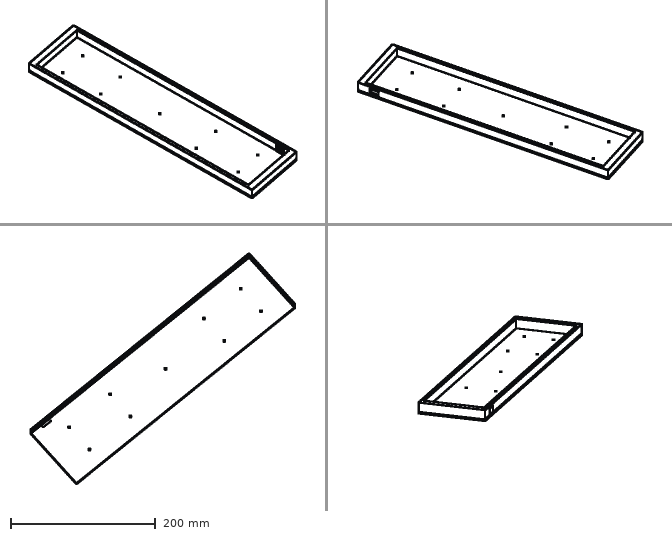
import cadquery as cq

length = 397.0
width = 97.5
height = 16.1

plate_thickness = 2.4
frame_height = height - plate_thickness
edge_chamfer = 0.2

cavity_length = 377.0
cavity_width = 88.0

hole_diameter = 2.2
hole_row_spacing = 43.0
hole_center_y = -0.6
hole_columns = (-159.6, -92.6, 77.6, 152.0)
middle_hole_x = -4.5

window_length = 14.0
window_height = 10.6
window_center_x = 172.5
window_sill_drop = 0.9
window_sill = plate_thickness - window_sill_drop


def centered_box(box_length, box_width, box_height, bottom):
    """Box centered in X and Y whose bottom face lies at the given height."""
    return (
        cq.Workplane("XY", origin=(0, 0, bottom))
        .box(box_length, box_width, box_height, centered=(True, True, False))
    )


def make_plate():
    """Base plate with all its outer edges chamfered."""
    return centered_box(length, width, plate_thickness, 0).edges().chamfer(edge_chamfer)


def make_frame():
    """Open frame whose outer vertical and top edges are chamfered."""
    block = centered_box(length, width, frame_height, plate_thickness)
    block = block.edges("|Z or >Z").chamfer(edge_chamfer)
    return block.cut(centered_box(cavity_length, cavity_width, frame_height, plate_thickness))


def make_holes():
    """Round cutters through the plate."""
    points = [
        (x, hole_center_y + side * hole_row_spacing / 2)
        for x in hole_columns
        for side in (-1, 1)
    ]
    points.append((middle_hole_x, hole_center_y))
    return cq.Workplane("XY").pushPoints(points).circle(hole_diameter / 2).extrude(plate_thickness)


def make_window():
    """Rectangular cutter through the back wall and the plate edge under it."""
    back_wall = (width - cavity_width) / 2
    cutter = centered_box(window_length, back_wall, window_height, window_sill)
    return cutter.translate((window_center_x, (cavity_width + back_wall) / 2, 0))


result = make_plate().union(make_frame()).cut(make_holes()).cut(make_window())